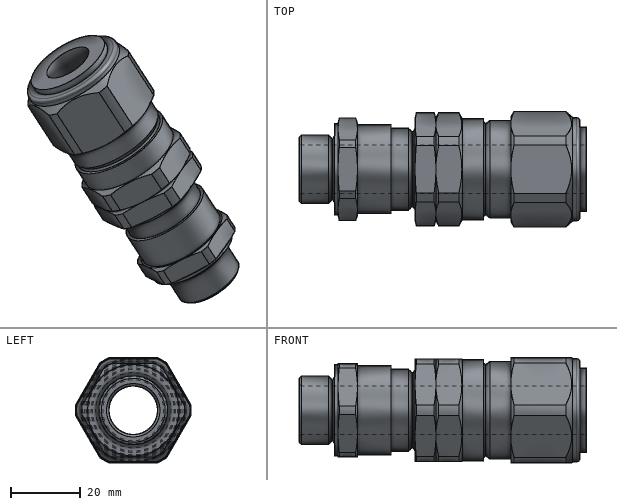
import cadquery as cq
import math


LENGTH = 83.3
BORE_RADIUS = 7.0
BORE_CHAMFER = 0.75

THREAD_RADIUS = 10.0
THREAD_CHAMFER = 0.75
THREAD_END = 8.5
THREAD_NECK_RADIUS = 8.8
THREAD_NECK_START = 9.6
THREAD_NECK_END = 9.75

COLLAR_START = 10.3
COLLAR_RADIUS = 13.25
COLLAR_NECK_RADIUS = 9.75
BODY_RADIUS = 12.9
BODY_END = 26.65

SLEEVE_RADIUS = 11.9
SLEEVE_END = 31.65
SLEEVE_NECK_RADIUS = 10.9
SLEEVE_NECK_START = 32.7
SLEEVE_NECK_END = 33.1
LOCKNUT_NECK_RADIUS = 11.8

BARREL_RADIUS = 14.7
BARREL_END = 53.5
BARREL_STEP_RADIUS = 13.75
GROOVE_RADIUS = 13.2
GROOVE_X = 54.1
REAR_SLEEVE_START = 55.3
REAR_SLEEVE_RADIUS = 14.2

RIM_RADIUS = 15.0
RIM_END = 81.4
RIM_ROUNDING = 1.0
SEAL_RADIUS = 12.25

ENTRY_FLAT = 13.5
ENTRY_CORNER = 14.9
MIDDLE_FLAT = 14.9
MIDDLE_CORNER = 16.4
CAP_FLAT = 15.25
CAP_CORNER = 16.785

ENTRY_HEX_START = 11.3
ENTRY_HEX_END = 16.9
LOCKNUT_START = 33.65
LOCKNUT_END = 39.65
MIDDLE_HEX_END = 47.3
CAP_START = 61.4
CAP_END = 79.3

SHALLOW_CHAMFER = 0.3
ENTRY_REAR_CHAMFER = 0.5
LOCKNUT_REAR_CHAMFER = 0.5
MIDDLE_FRONT_CHAMFER = 0.8
MIDDLE_REAR_CHAMFER = 1.0
CAP_FRONT_CHAMFER = 0.9
CAP_REAR_CHAMFER = 2.0


def revolve_about_x(points):
    """Turn a closed profile of (x, radius) points about the X axis."""
    return cq.Workplane("XY").polyline(points).close().revolve(360, (0, 0, 0), (1, 0, 0))


def hexagon(start, end, flat, corner, front, rear):
    """Hexagon with flats facing +Z and -Z and turned corners.

    front and rear are (axial length, end face radius) of the two corner chamfers.
    """
    front_length, front_radius = front
    rear_length, rear_radius = rear
    prism = (
        cq.Workplane("YZ", origin=(start, 0, 0))
        .polygon(6, 2 * flat / math.cos(math.pi / 6))
        .extrude(end - start)
    )
    turned = revolve_about_x([
        (start, 0),
        (start, front_radius),
        (start + front_length, corner),
        (end - rear_length, corner),
        (end, rear_radius),
        (end, 0),
    ])
    return prism.intersect(turned)


def turned_core():
    """All the round sections from the thread to the seal ring, as one turned piece."""
    return (
        cq.Workplane("XY")
        .moveTo(0, 0)
        .lineTo(0, THREAD_RADIUS - THREAD_CHAMFER)
        .lineTo(THREAD_CHAMFER, THREAD_RADIUS)
        .lineTo(THREAD_END, THREAD_RADIUS)
        .lineTo(THREAD_NECK_START, THREAD_NECK_RADIUS)
        .lineTo(THREAD_NECK_END, THREAD_NECK_RADIUS)
        .lineTo(COLLAR_START, COLLAR_NECK_RADIUS)
        .lineTo(COLLAR_START, COLLAR_RADIUS)
        .lineTo(ENTRY_HEX_START, COLLAR_RADIUS)
        .lineTo(ENTRY_HEX_START, BODY_RADIUS)
        .lineTo(BODY_END, BODY_RADIUS)
        .lineTo(BODY_END, SLEEVE_RADIUS)
        .lineTo(SLEEVE_END, SLEEVE_RADIUS)
        .lineTo(SLEEVE_NECK_START, SLEEVE_NECK_RADIUS)
        .lineTo(SLEEVE_NECK_END, SLEEVE_NECK_RADIUS)
        .lineTo(LOCKNUT_START, LOCKNUT_NECK_RADIUS)
        .lineTo(LOCKNUT_START, BARREL_RADIUS)
        .lineTo(BARREL_END, BARREL_RADIUS)
        .lineTo(BARREL_END, BARREL_STEP_RADIUS)
        .lineTo(GROOVE_X, GROOVE_RADIUS)
        .lineTo(REAR_SLEEVE_START, REAR_SLEEVE_RADIUS)
        .lineTo(CAP_START, REAR_SLEEVE_RADIUS)
        .lineTo(CAP_START, RIM_RADIUS)
        .lineTo(RIM_END - RIM_ROUNDING, RIM_RADIUS)
        .radiusArc((RIM_END, RIM_RADIUS - RIM_ROUNDING), RIM_ROUNDING)
        .lineTo(RIM_END, SEAL_RADIUS)
        .lineTo(LENGTH, SEAL_RADIUS)
        .lineTo(LENGTH, 0)
        .close()
        .revolve(360, (0, 0, 0), (1, 0, 0))
    )


def bore():
    """Through bore with a chamfered mouth at the thread end."""
    return revolve_about_x([
        (0, 0),
        (0, BORE_RADIUS + BORE_CHAMFER),
        (BORE_CHAMFER, BORE_RADIUS),
        (LENGTH, BORE_RADIUS),
        (LENGTH, 0),
    ])


entry_hex = hexagon(
    ENTRY_HEX_START, ENTRY_HEX_END, ENTRY_FLAT, ENTRY_CORNER,
    front=(SHALLOW_CHAMFER, ENTRY_FLAT),
    rear=(ENTRY_REAR_CHAMFER, ENTRY_FLAT),
)
locknut = hexagon(
    LOCKNUT_START, LOCKNUT_END, MIDDLE_FLAT, MIDDLE_CORNER,
    front=(SHALLOW_CHAMFER, MIDDLE_FLAT),
    rear=(LOCKNUT_REAR_CHAMFER, MIDDLE_FLAT),
)
middle_hex = hexagon(
    LOCKNUT_END, MIDDLE_HEX_END, MIDDLE_FLAT, MIDDLE_CORNER,
    front=(MIDDLE_FRONT_CHAMFER, MIDDLE_FLAT),
    rear=(MIDDLE_REAR_CHAMFER, BARREL_RADIUS),
)
cap_hex = hexagon(
    CAP_START, CAP_END, CAP_FLAT, CAP_CORNER,
    front=(CAP_FRONT_CHAMFER, CAP_FLAT),
    rear=(CAP_REAR_CHAMFER, RIM_RADIUS),
)

result = turned_core()
for nut in (entry_hex, locknut, middle_hex, cap_hex):
    result = result.union(nut)
result = result.cut(bore())